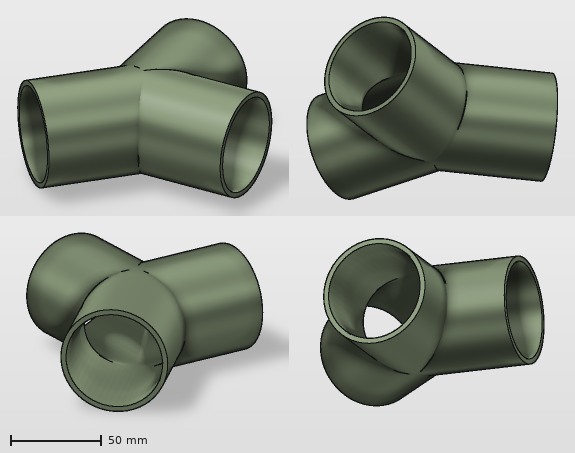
import cadquery as cq
import math

overall_width = 133.2
outer_diameter = 60.3
bore_diameter = 54.5
stem_length = 64.0
branch_angle = 45.0
outer_seam_radius = 0.5
bore_crotch_radius = 3.7

tilt = math.radians(branch_angle)
branch_length = (overall_width / 2 - outer_diameter / 2 * math.cos(tilt)) / math.sin(tilt)

junction = cq.Vector(0, 0, 0)
stem_direction = cq.Vector(0, -1, 0)
branch_directions = [cq.Vector(side * math.sin(tilt), math.cos(tilt), 0) for side in (-1, 1)]


def leg(direction, length, diameter):
    """Round bar running from the junction along a direction."""
    return cq.Workplane(cq.Solid.makeCylinder(diameter / 2, length, junction, direction))


def wye(diameter):
    """Stem and two branches joined by a ball of the same diameter at the junction."""
    body = cq.Workplane("XY").sphere(diameter / 2)
    body = body.union(leg(stem_direction, stem_length, diameter))
    for direction in branch_directions:
        body = body.union(leg(direction, branch_length, diameter))
    return body


outside = wye(outer_diameter)
bore = wye(bore_diameter)

outside = outside.edges("%ELLIPSE").fillet(outer_seam_radius)

bore = bore.edges("%ELLIPSE").edges(">Y").fillet(bore_crotch_radius)

result = outside.cut(bore)